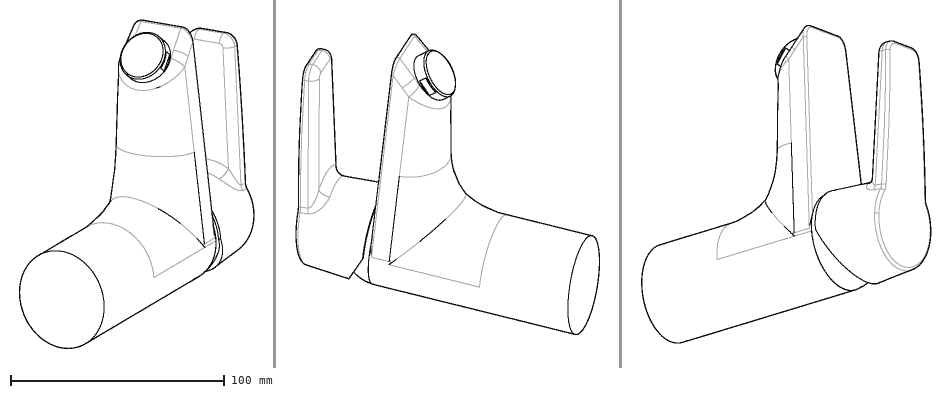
import cadquery as cq
import math

TILT = 5.0

BARREL_RADIUS = 23.5
BODY_BACK = 98.9
FLAT_FRONT = 88.9
SIDE_DRAFT = 4.0
SPOUT_FRONT_Y = 66.8
ELBOW_START = 43.9
ELBOW_STEPS = 6
SPOUT_TOP_UP = 107.1
ROOF_SLOPE = 50.5
ROOF_CLEARANCE = 15.0
ROOF_FILLET = 5.5
BACK_FILLET = 1.2

AERATOR_RADIUS = 11.8
AERATOR_CENTER = (70.65, 102.25)
AERATOR_ELEVATION = 35.0
AERATOR_DEPTH = 14.0
AERATOR_CHAMFER = 0.8
AERATOR_FLAT = 11.0
AERATOR_FLAT_INSET = 1.6
AERATOR_FLAT_LENGTH = 3.8

HANDLE_FRONT = 101.7
HANDLE_RADIUS = 24.31
HANDLE_DRAFT = 4.0
CAP_LENGTH = 40.0
BEVEL_ANGLE = 24.1
HANDLE_BACK_BOTTOM = (134.2, -10.65)
HANDLE_BACK_MIDDLE = (136.25, 52.5)
HANDLE_BACK_TOP = (135.0, 99.2)
HANDLE_BACK_FILLET = 1.5
LEVER_FRONT_TOP_Y = 127.9
LEVER_FRONT_BASE = (126.9, 35.0)
LEVER_BASE_HALF_WIDTH = 16.5
LEVER_TOP_HALF_WIDTH = 12.5
LEVER_ROOT_Z = 5.0
LEVER_REAR_Y = 150.0
LEVER_CORNER_RADIUS = 6.0
LEVER_EDGE_FILLET = 4.0
LEVER_ROOT_FILLET = 4.8
ROOT_ZONE_BOTTOM = 15.0

NECK_START = (BODY_BACK, 23.4)
NECK_MIDDLE = (104.4, 22.3)
NECK_END = (110.5, 18.8)

SIN_TILT = math.sin(math.radians(TILT))
COS_TILT = math.cos(math.radians(TILT))
OVERLAP = 1.0
SLAB_WIDTH = 120.0


def tilted_point(along, up):
    """Y, Z of a point given in the tilted frame."""
    return along * COS_TILT - up * SIN_TILT, along * SIN_TILT + up * COS_TILT


def tilt(solid):
    return solid.rotate((0, 0, 0), (1, 0, 0), TILT)


def half_width(up):
    """Half width of the body: round below, leaning flat sides tangent to it above."""
    draft = math.radians(SIDE_DRAFT)
    if up <= BARREL_RADIUS * math.sin(draft):
        return math.sqrt(BARREL_RADIUS**2 - up**2)
    return (BARREL_RADIUS - up * math.sin(draft)) / math.cos(draft)


def side_slab(points):
    """Wide prism of a Y, Z outline, centred on X = 0."""
    return cq.Workplane("YZ").polyline(points).close().extrude(SLAB_WIDTH / 2, both=True)


def oval_edge(center, reach, half):
    """Half-ellipse from +X to -X about center, bulging by the vector reach."""
    across = cq.Vector(1, 0, 0)
    outward = reach.normalized()
    normal = across.cross(outward)
    if half >= reach.Length:
        return cq.Edge.makeEllipse(half, reach.Length, center, normal, across, 0, 180)
    return cq.Edge.makeEllipse(reach.Length, half, center, normal, outward, -90, 90)


def closed_oval(center, reach, half):
    """Half-ellipse closed by its chord along X."""
    oval = oval_edge(center, reach, half)
    chord = cq.Edge.makeLine(oval.endPoint(), oval.startPoint())
    return cq.Wire.assembleEdges([oval, chord])


elbow_radius = (SPOUT_FRONT_Y - ELBOW_START * COS_TILT + BARREL_RADIUS * SIN_TILT) / (1 - SIN_TILT)
elbow_run = FLAT_FRONT - ELBOW_START
elbow_drop = BARREL_RADIUS + elbow_radius
elbow_y, elbow_z = tilted_point(ELBOW_START, elbow_drop)


def level_point(along, z):
    """Y and up of the point at a tilted-frame along and a true height z."""
    up = (z - along * SIN_TILT) / COS_TILT
    return tilted_point(along, up)[0], up


def make_barrel():
    start = -2 * BARREL_RADIUS * SIN_TILT
    barrel = cq.Workplane("XZ", origin=(0, start, 0)).circle(BARREL_RADIUS).extrude(start - BODY_BACK)
    front_half_space = cq.Workplane("XY").box(SLAB_WIDTH, SLAB_WIDTH, SLAB_WIDTH)
    return tilt(barrel).cut(front_half_space.translate((0, -SLAB_WIDTH / 2, 0)))


def make_spout_back():
    """Slab between the flat back and the start of the rounded front, with leaning sides."""
    base = BARREL_RADIUS * math.sin(math.radians(SIDE_DRAFT))
    top = SPOUT_TOP_UP + ROOF_CLEARANCE
    outline = [
        (-half_width(base), base),
        (half_width(base), base),
        (half_width(top), top),
        (-half_width(top), top),
    ]
    slab = cq.Workplane("XZ", origin=(0, BODY_BACK, 0)).polyline(outline).close()
    return tilt(slab.extrude(BODY_BACK - FLAT_FRONT))


def make_spout_front():
    """Rounded front of the spout, between the flat sides and the upright front line."""
    sections = []
    for z in (elbow_z, SPOUT_TOP_UP + ROOF_CLEARANCE):
        chord_y, up = level_point(FLAT_FRONT, z)
        reach = cq.Vector(0, SPOUT_FRONT_Y - chord_y, 0)
        sections.append(closed_oval(cq.Vector(0, chord_y, z), reach, half_width(up)))
    return cq.Workplane(cq.Solid.makeLoft(sections, True))


def elbow_section(angle):
    """Half-oval of the elbow in the fan plane at this angle about the elbow arc centre."""
    if angle < math.atan2(elbow_drop, elbow_run):
        reach = elbow_run / math.cos(angle)
    else:
        reach = elbow_drop / math.sin(angle)
    up = elbow_drop - reach * math.sin(angle)
    chord = cq.Vector(0, *tilted_point(ELBOW_START + reach * math.cos(angle), up))
    inward = (cq.Vector(0, elbow_y, elbow_z) - chord).normalized()
    return closed_oval(chord, inward * (reach - elbow_radius), half_width(up))


def elbow_fan(first_angle, last_angle):
    """Part of the elbow swept by the fan plane between two angles."""
    step = (last_angle - first_angle) / ELBOW_STEPS
    sections = [elbow_section(first_angle + i * step) for i in range(ELBOW_STEPS + 1)]
    return cq.Workplane(cq.Solid.makeLoft(sections, False))


def make_roof_cut():
    """Everything above the roof plane, which falls to the front from the top back edge."""
    peak_y, peak_z = tilted_point(BODY_BACK, SPOUT_TOP_UP)
    fall = math.tan(math.radians(ROOF_SLOPE))
    back_y = peak_y + ROOF_CLEARANCE
    front_y = 0.0
    return side_slab([
        (back_y, peak_z + ROOF_CLEARANCE * fall),
        (front_y, peak_z - peak_y * fall),
        (front_y, peak_z + ROOF_CLEARANCE * fall),
    ])


def make_aerator():
    elevation = math.radians(AERATOR_ELEVATION)
    plane = cq.Plane(
        origin=(0, *AERATOR_CENTER),
        xDir=(1, 0, 0),
        normal=(0, -math.cos(elevation), math.sin(elevation)),
    )
    disc = cq.Workplane(plane).circle(AERATOR_RADIUS).extrude(-AERATOR_DEPTH)
    disc = disc.faces(cq.selectors.DirectionNthSelector(plane.zDir, -1)).chamfer(AERATOR_CHAMFER)
    for side in (-1, 1):
        cutter = (
            cq.Workplane(plane)
            .workplane(offset=-AERATOR_FLAT_INSET)
            .center(side * (AERATOR_FLAT + OVERLAP), 0)
            .rect(2 * OVERLAP, 2 * AERATOR_RADIUS)
            .extrude(-AERATOR_FLAT_LENGTH)
        )
        disc = disc.cut(cutter)
    return disc


def make_spout():
    spout = make_spout_back().union(make_spout_front()).cut(make_roof_cut())

    slope = math.radians(ROOF_SLOPE)
    roof_normal = cq.Vector(0, -math.sin(slope), math.cos(slope))
    roof = spout.faces(cq.selectors.DirectionNthSelector(roof_normal, -1))
    peak_y = tilted_point(BODY_BACK, SPOUT_TOP_UP)[0]
    roof_edges = [edge for edge in roof.edges().vals() if edge.Center().y < peak_y - OVERLAP]
    spout = spout.newObject(roof_edges).fillet(ROOF_FILLET)

    back_normal = cq.Vector(0, COS_TILT, SIN_TILT)
    back = spout.faces(cq.selectors.DirectionNthSelector(back_normal, -1))
    return back.edges("not(<Z)").fillet(BACK_FILLET)


def make_body():
    """Barrel and spout, joined by the elbow in two fans that meet at its side corner."""
    corner_angle = math.atan2(elbow_drop, elbow_run)
    upper_elbow = elbow_fan(math.radians(TILT), corner_angle)
    lower_elbow = elbow_fan(corner_angle, math.pi / 2)
    body = make_barrel().union(make_spout()).union(upper_elbow).union(lower_elbow)
    return body.union(make_aerator())


def make_neck():
    profile = (
        cq.Workplane("XY")
        .moveTo(0, BODY_BACK - OVERLAP)
        .lineTo(NECK_START[1], BODY_BACK - OVERLAP)
        .lineTo(NECK_START[1], BODY_BACK)
        .threePointArc(NECK_MIDDLE[::-1], NECK_END[::-1])
        .lineTo(0, NECK_END[0])
        .close()
    )
    return tilt(profile.revolve(360, (0, 0, 0), (0, 1, 0)))


def make_cap():
    """Cone narrowing to the back, its underside bevelled away at the front."""
    far_along = HANDLE_FRONT + CAP_LENGTH
    far_radius = HANDLE_RADIUS - CAP_LENGTH * math.tan(math.radians(HANDLE_DRAFT))
    cone = (
        cq.Workplane("XY")
        .moveTo(0, HANDLE_FRONT)
        .lineTo(HANDLE_RADIUS, HANDLE_FRONT)
        .lineTo(far_radius, far_along)
        .lineTo(0, far_along)
        .close()
        .revolve(360, (0, 0, 0), (0, 1, 0))
    )
    bevel_depth = 2 * HANDLE_RADIUS
    bevel = side_slab([
        (HANDLE_FRONT, 0),
        (HANDLE_FRONT + bevel_depth * math.tan(math.radians(BEVEL_ANGLE)), -bevel_depth),
        (HANDLE_FRONT, -bevel_depth),
    ])
    return tilt(cone.cut(bevel))


def lever_half_width(z):
    """Half width of the lever, narrowing evenly from its base to its top."""
    base_z = LEVER_FRONT_BASE[1]
    share = (z - base_z) / (HANDLE_BACK_TOP[1] - base_z)
    return LEVER_BASE_HALF_WIDTH + share * (LEVER_TOP_HALF_WIDTH - LEVER_BASE_HALF_WIDTH)


def make_lever():
    top = HANDLE_BACK_TOP[1]
    root = LEVER_ROOT_Z
    base_y, base_z = LEVER_FRONT_BASE
    lean = (LEVER_FRONT_TOP_Y - base_y) / (top - base_z)
    side_profile = side_slab([
        (base_y + lean * (root - base_z), root),
        (LEVER_FRONT_TOP_Y, top),
        (LEVER_REAR_Y, top),
        (LEVER_REAR_Y, root),
    ])
    lever = (
        cq.Workplane("XZ")
        .moveTo(-lever_half_width(root), root)
        .lineTo(lever_half_width(root), root)
        .lineTo(LEVER_TOP_HALF_WIDTH, top)
        .lineTo(-LEVER_TOP_HALF_WIDTH, top)
        .close()
        .extrude(-LEVER_REAR_Y)
        .edges("|Y and >Z")
        .fillet(LEVER_CORNER_RADIUS)
        .intersect(side_profile)
    )
    return lever.faces("<Y").edges("not <Z").fillet(LEVER_EDGE_FILLET)


def make_handle_envelope():
    """Space in front of the bowed back of the handle."""
    front_y = BODY_BACK - HANDLE_RADIUS
    bottom_z = -2 * HANDLE_RADIUS
    return (
        cq.Workplane("YZ")
        .moveTo(*HANDLE_BACK_BOTTOM)
        .threePointArc(HANDLE_BACK_MIDDLE, HANDLE_BACK_TOP)
        .lineTo(front_y, HANDLE_BACK_TOP[1])
        .lineTo(front_y, bottom_z)
        .lineTo(HANDLE_BACK_BOTTOM[0], bottom_z)
        .close()
        .extrude(SLAB_WIDTH / 2, both=True)
    )


def make_handle():
    handle = make_cap().union(make_lever())
    root_zone = cq.selectors.BoxSelector(
        (-HANDLE_RADIUS, LEVER_FRONT_BASE[0] - LEVER_ROOT_FILLET, ROOT_ZONE_BOTTOM),
        (HANDLE_RADIUS, HANDLE_FRONT + CAP_LENGTH, LEVER_FRONT_BASE[1] + LEVER_ROOT_FILLET),
        boundingbox=True,
    )
    handle = handle.edges(root_zone).fillet(LEVER_ROOT_FILLET)
    handle = handle.intersect(make_handle_envelope())
    return handle.faces(">Y").edges().fillet(HANDLE_BACK_FILLET)


result = make_body().union(make_neck()).union(make_handle())